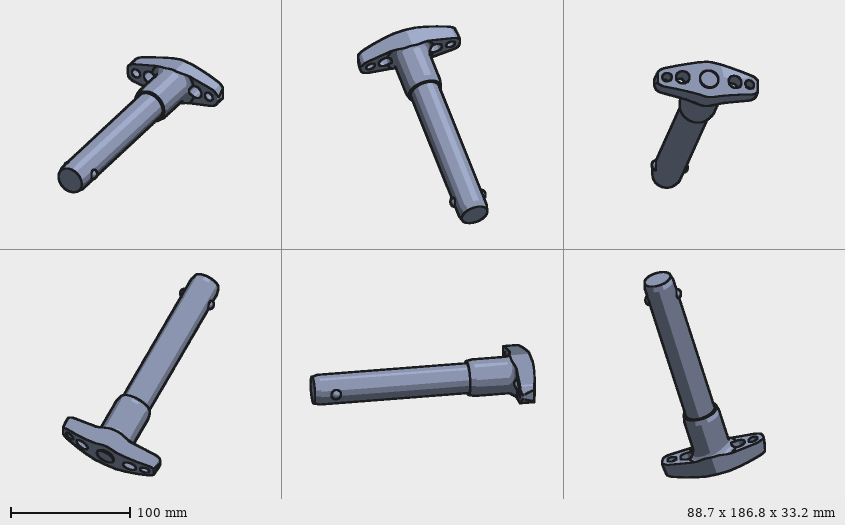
import cadquery as cq
import math


SHANK_LENGTH = 132.0
HEAD_LENGTH = 54.8

SHANK_RADIUS = 12.65
TIP_RADIUS = 11.4
TIP_LENGTH = 5.2

BALL_RADIUS = 4.4
BALL_REACH = 15.5
BALL_FROM_TIP = 17.7

COLLAR_RADIUS = 15.5
COLLAR_TAPER_RADIUS = 14.9
SHOULDER_RADIUS = 14.4
TAPER_START_Y = 5.1
TAPER_END_Y = 2.3
FLARE_RADIUS = 5.5
FLARE_START_Y = 33.2
FLARE_OVERLAP = 1.0

HANDLE_HALF_HEIGHT = 16.605
HANDLE_HALF_WIDTH = 44.4
END_RADIUS = 8.9
END_TRIM = 0.05
END_CENTRE_X = HANDLE_HALF_WIDTH + END_TRIM - END_RADIUS

UNDERSIDE_AXIS_Y = 39.6
UNDERSIDE_TIP_Y = 37.65
END_FACE_TOP_X = 42.9
END_CORNER_RADIUS = 2.2

DOME_RADIUS = 152.0
DOME_PEAK_Y = HEAD_LENGTH + 0.4
TROUGH_RADIUS = 70.0
TROUGH_FLOOR_Y = HEAD_LENGTH - 1.25

BUTTON_RADIUS = 7.9

HOLES = [(22.4, 11.3), (35.4, 7.8)]


def dome_height(x):
    """Y of the domed top at distance x from the axis."""
    return DOME_PEAK_Y - DOME_RADIUS + math.sqrt(DOME_RADIUS**2 - x**2)


def make_outline_prism():
    """Handle outline extruded along Y over the whole head."""
    lean = math.asin((HANDLE_HALF_HEIGHT - END_RADIUS) / END_CENTRE_X)
    middle_x = HANDLE_HALF_HEIGHT * math.sin(lean)
    middle_z = HANDLE_HALF_HEIGHT * math.cos(lean)
    end_x = END_CENTRE_X + END_RADIUS * math.sin(lean)
    end_z = END_RADIUS * math.cos(lean)
    tip_x = END_CENTRE_X + END_RADIUS
    return (
        cq.Workplane("XZ")
        .moveTo(-middle_x, middle_z)
        .threePointArc((0, HANDLE_HALF_HEIGHT), (middle_x, middle_z))
        .lineTo(end_x, end_z)
        .threePointArc((tip_x, 0), (end_x, -end_z))
        .lineTo(middle_x, -middle_z)
        .threePointArc((0, -HANDLE_HALF_HEIGHT), (-middle_x, -middle_z))
        .lineTo(-end_x, -end_z)
        .threePointArc((-tip_x, 0), (-end_x, end_z))
        .close()
        .extrude(-DOME_PEAK_Y)
    )


def make_section_prism():
    """Handle section extruded along Z: sloped underside, rounded lower corners, leaning ends."""
    top_y = dome_height(END_FACE_TOP_X)
    lean = (HANDLE_HALF_WIDTH - END_FACE_TOP_X) / (top_y - UNDERSIDE_TIP_Y - END_CORNER_RADIUS)
    corner_x = HANDLE_HALF_WIDTH + lean * END_CORNER_RADIUS
    peak_x = END_FACE_TOP_X - lean * (DOME_PEAK_Y - top_y)
    prism = (
        cq.Workplane("XY")
        .moveTo(0, UNDERSIDE_AXIS_Y)
        .lineTo(corner_x, UNDERSIDE_TIP_Y)
        .lineTo(peak_x, DOME_PEAK_Y)
        .lineTo(-peak_x, DOME_PEAK_Y)
        .lineTo(-corner_x, UNDERSIDE_TIP_Y)
        .close()
        .extrude(HANDLE_HALF_HEIGHT, both=True)
    )
    lower_corners = [(-corner_x, UNDERSIDE_TIP_Y, 0), (corner_x, UNDERSIDE_TIP_Y, 0)]
    for corner in lower_corners:
        prism = prism.edges(cq.selectors.NearestToPointSelector(corner)).fillet(END_CORNER_RADIUS)
    return prism


def make_flare(outline):
    """Concave fillet between the collar and the handle, trimmed flush with the handle sides."""
    outer_radius = COLLAR_RADIUS + FLARE_RADIUS
    root_y = FLARE_START_Y + FLARE_RADIUS
    diagonal = FLARE_RADIUS * math.sqrt(0.5)
    flare = (
        cq.Workplane("XY")
        .moveTo(0, FLARE_START_Y)
        .lineTo(COLLAR_RADIUS, FLARE_START_Y)
        .threePointArc(
            (outer_radius - diagonal, FLARE_START_Y + diagonal), (outer_radius, root_y)
        )
        .lineTo(outer_radius, root_y + FLARE_OVERLAP)
        .lineTo(0, root_y + FLARE_OVERLAP)
        .close()
        .revolve(360, (0, 0), (0, 1))
    )
    return flare.intersect(outline)


def make_handle():
    outline = make_outline_prism()
    dome = cq.Workplane("XY").sphere(DOME_RADIUS).translate((0, DOME_PEAK_Y - DOME_RADIUS, 0))
    trough = (
        cq.Workplane("XY")
        .center(0, TROUGH_FLOOR_Y + TROUGH_RADIUS)
        .circle(TROUGH_RADIUS)
        .extrude(HANDLE_HALF_HEIGHT, both=True)
    )
    handle = outline.intersect(make_section_prism()).intersect(dome).cut(trough)
    return handle.union(make_flare(outline))


def cut_finger_holes(handle):
    for distance, diameter in HOLES:
        holes = (
            cq.Workplane("XZ")
            .pushPoints([(-distance, 0), (distance, 0)])
            .circle(diameter / 2)
            .extrude(-DOME_PEAK_Y)
        )
        handle = handle.cut(holes)
    return handle


def make_pin():
    """Shank, tip taper and collar as one turned body, meeting the flare at the top of the collar."""
    return (
        cq.Workplane("XY")
        .moveTo(0, -SHANK_LENGTH)
        .lineTo(TIP_RADIUS, -SHANK_LENGTH)
        .lineTo(SHANK_RADIUS, -SHANK_LENGTH + TIP_LENGTH)
        .lineTo(SHANK_RADIUS, 0)
        .lineTo(SHOULDER_RADIUS, 0)
        .lineTo(COLLAR_TAPER_RADIUS, TAPER_END_Y)
        .lineTo(COLLAR_RADIUS, TAPER_START_Y)
        .lineTo(COLLAR_RADIUS, FLARE_START_Y)
        .lineTo(0, FLARE_START_Y)
        .close()
        .revolve(360, (0, 0), (0, 1))
    )


def make_button():
    """Release button, standing up from the trough and reaching down through the handle."""
    top_plane = cq.Workplane("XZ", origin=(0, HEAD_LENGTH, 0))
    return top_plane.circle(BUTTON_RADIUS).extrude(HEAD_LENGTH - UNDERSIDE_AXIS_Y)


def make_balls():
    ball_y = BALL_FROM_TIP - SHANK_LENGTH
    ball_x = BALL_REACH - BALL_RADIUS
    centres = [(-ball_x, ball_y), (ball_x, ball_y)]
    return cq.Workplane("XY").pushPoints(centres).sphere(BALL_RADIUS)


result = (
    cut_finger_holes(make_handle())
    .union(make_pin())
    .union(make_button())
    .union(make_balls())
)